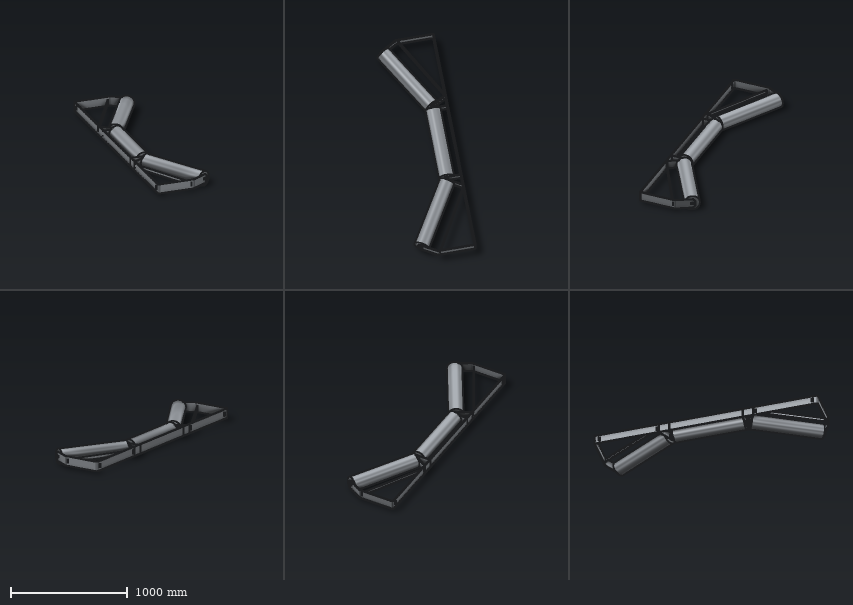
import cadquery as cq
import math

frame_length = 2000.0
bar_thickness = 8.0
bar_width = 85.0
upright_height = 330.0
arm_length = 182.0
arm_lean = math.radians(30)
tip_chamfer = 25.0
base_bend_radius = 15.0
arm_bend_radius = 10.0
hole_width = 15.0
hole_height = 28.0
hole_inset = 48.0

roller_diameter = 135.0
roller_length = 638.0
shaft_diameter = 25.0
shaft_flat_width = 15.0
wing_gap = 5.0
centre_gap = 5.0
wing_axis_height_on_arm = 152.0
centre_axis_height = 130.0

bracket_height = 148.0
bracket_width = 72.0
bracket_bend_radius = 8.0

brace_thickness = 5.0
brace_width = 32.0
brace_top = 315.0
brace_foot_inset = 565.0

inner_axis_drop = (bar_width - bracket_width) / 2
roller_radius = roller_diameter / 2
shaft_radius = shaft_diameter / 2
wing_shaft_length = roller_length + 2 * (wing_gap + bar_thickness)
centre_shaft_length = roller_length + 2 * (centre_gap + bar_thickness)
half_frame = frame_length / 2
lean_x = math.sin(arm_lean)
lean_y = math.cos(arm_lean)


def bent_plate(path, thickness, width, bend_radii):
    """Plate of even thickness to the left of the path, with rounded outer bends at its inner points."""
    headings = [math.atan2(y1 - y0, x1 - x0) for (x0, y0), (x1, y1) in zip(path, path[1:])]
    headings_in = [headings[0]] + headings
    headings_out = headings + [headings[-1]]
    offset_path = []
    for (x, y), before, after in zip(path, headings_in, headings_out):
        normal = (before + after + math.pi) / 2
        reach = thickness / math.cos((after - before) / 2)
        offset_path.append((x + reach * math.cos(normal), y + reach * math.sin(normal)))
    outline = path + offset_path[::-1]
    plate = cq.Workplane("XY").polyline(outline).close().extrude(width / 2, both=True)
    for outer, inner, radius in zip(path[1:-1], offset_path[1:-1], bend_radii):
        plate = plate.edges(cq.selectors.NearestToPointSelector((*outer, 0))).fillet(radius)
        if radius > thickness:
            plate = plate.edges(cq.selectors.NearestToPointSelector((*inner, 0))).fillet(radius - thickness)
    return plate


def both_sides(body):
    return [body, body.mirror("YZ")]


arm_foot = (-half_frame, upright_height)
arm_tip = (arm_foot[0] + arm_length * lean_x, arm_foot[1] + arm_length * lean_y)
wing_tilt = math.asin(inner_axis_drop / wing_shaft_length)
wing_direction = cq.Vector(
    lean_y * math.cos(wing_tilt), -lean_x * math.cos(wing_tilt), -math.sin(wing_tilt)
)
wing_outer_end = cq.Vector(
    arm_foot[0] + wing_axis_height_on_arm * lean_x, arm_foot[1] + wing_axis_height_on_arm * lean_y, 0
)
wing_inner_end = wing_outer_end + wing_direction * wing_shaft_length
wing_middle = (wing_outer_end + wing_inner_end) * 0.5
wing_plane = cq.Plane(wing_middle, (lean_x, lean_y, 0), wing_direction)
centre_plane = cq.Plane((0, centre_axis_height, -inner_axis_drop), (0, 1, 0), (1, 0, 0))


def along_axis(plane, length):
    """Workplane across the roller axis, half the length before the plane's origin."""
    return cq.Workplane(plane).workplane(offset=-length / 2)


def roller(plane, shaft_length):
    drum = along_axis(plane, roller_length).circle(roller_radius).extrude(roller_length)
    shaft = along_axis(plane, shaft_length).circle(shaft_radius).extrude(shaft_length)
    flats = along_axis(plane, shaft_length).rect(shaft_diameter, shaft_flat_width).extrude(shaft_length)
    return drum.union(shaft.intersect(flats))


def shaft_slots(plane, shaft_length):
    """Slot cutter for both shaft ends, open along local X and reaching a little past the plate faces."""
    cut_length = shaft_length + bar_thickness
    return (
        along_axis(plane, cut_length)
        .center(arm_length / 2 - shaft_radius, 0)
        .rect(arm_length, shaft_flat_width)
        .extrude(cut_length)
    )


wing_slots = shaft_slots(wing_plane, wing_shaft_length)
wing_slots = wing_slots.union(wing_slots.mirror("YZ"))
centre_slots = shaft_slots(centre_plane, centre_shaft_length)

base_corner = (-half_frame, 0)
left_path = [arm_tip, arm_foot, base_corner]
frame_path = left_path + [(-x, y) for x, y in reversed(left_path)]
bend_radii = [arm_bend_radius, base_bend_radius, base_bend_radius, arm_bend_radius]
frame = bent_plate(frame_path, bar_thickness, bar_width, bend_radii)
for side in (-1, 1):
    arm_line = cq.selectors.ParallelDirSelector(cq.Vector(lean_y, side * lean_x, 0))
    for face in (-1, 1):
        corner = (-side * arm_tip[0], arm_tip[1], face * bar_width / 2)
        tip_corner = cq.selectors.NearestToPointSelector(corner)
        frame = frame.edges(arm_line).edges(tip_corner).chamfer(tip_chamfer)
mounting_holes = (
    cq.Workplane("XZ")
    .pushPoints([(-half_frame + hole_inset, 0), (half_frame - hole_inset, 0)])
    .rect(hole_width, hole_height)
    .extrude(bar_thickness * 2, both=True)
)
frame = frame.cut(mounting_holes).cut(wing_slots)

vertical_face = -(roller_length / 2 + centre_gap)
leaning_face_at_axis = wing_inner_end.x - bar_thickness / lean_y


def leaning_face_x(height):
    return leaning_face_at_axis + (height - wing_inner_end.y) * lean_x / lean_y


bracket_path = [
    (vertical_face, 0),
    (vertical_face, bracket_height),
    (leaning_face_x(bracket_height), bracket_height),
    (leaning_face_x(0), 0),
]
base_block = cq.Workplane("XY").box(frame_length, 2 * bar_thickness, bar_width)
bracket = bent_plate(bracket_path, bar_thickness, bracket_width, [bracket_bend_radius, bracket_bend_radius])
bracket = bracket.translate((0, 0, -inner_axis_drop)).cut(base_block)
bracket = bracket.cut(wing_slots).cut(centre_slots)

upright_face = -half_frame + bar_thickness
foot_x = -half_frame + brace_foot_inset
brace_slope = math.atan2(brace_top - bar_thickness, foot_x - upright_face)
brace = (
    cq.Workplane("XY")
    .polyline([
        (upright_face, brace_top),
        (foot_x, bar_thickness),
        (foot_x - brace_thickness / math.sin(brace_slope), bar_thickness),
        (upright_face, brace_top - brace_thickness / math.cos(brace_slope)),
    ])
    .close()
    .extrude(brace_width / 2, both=True)
)

wing_roller = roller(wing_plane, wing_shaft_length)
centre_roller = roller(centre_plane, centre_shaft_length)

bodies = [frame, centre_roller]
for body in (wing_roller, bracket, brace):
    bodies += both_sides(body)
result = cq.Compound.makeCompound([body.val() for body in bodies])